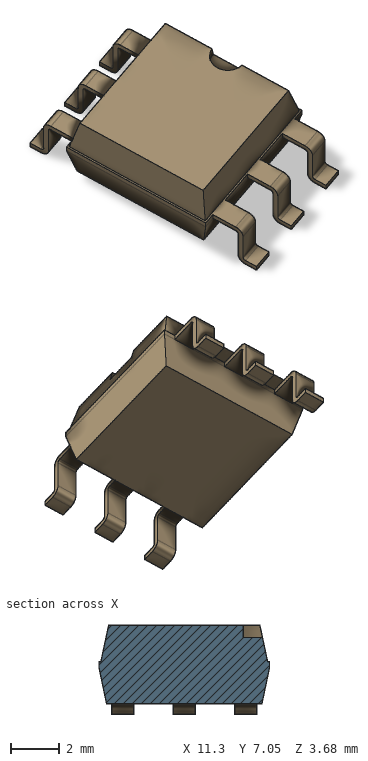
import cadquery as cq

band_length = 6.96
band_width = 7.05
band_top = 2.18
upper_height = 1.5
lower_height = 1.5
upper_step = 0.08
upper_inset = 0.32
lower_inset = 0.315

lead_span = 11.32
riser_span = 9.98
lead_thickness = 0.25
lead_width = 0.92
lead_pitch = 2.54
leads_per_side = 3
inner_bend_radius = 0.125
outer_bend_radius = inner_bend_radius + lead_thickness

notch_radius = 0.75
notch_depth = 0.5
notch_center_y = 3.19

band_bottom = band_top - lead_thickness
body_top = band_top + upper_height


def tapered_block(length, width, start_z, end_z, inset):
    """Frustum from a length x width base at start_z, narrowed by inset per side at end_z."""
    return (
        cq.Workplane("XY", origin=(0, 0, start_z))
        .rect(length, width)
        .workplane(offset=end_z - start_z)
        .rect(length - 2 * inset, width - 2 * inset)
        .loft(ruled=True)
    )


def make_body():
    band = cq.Workplane("XY", origin=(0, 0, band_bottom)).box(
        band_length, band_width, lead_thickness, centered=(True, True, False)
    )
    upper = tapered_block(
        band_length - 2 * upper_step, band_width - 2 * upper_step, band_top, body_top, upper_inset
    )
    lower = tapered_block(
        band_length, band_width, band_bottom, band_bottom - lower_height, lower_inset
    )
    return band.union(upper).union(lower)


def make_notch():
    return (
        cq.Workplane("XY", origin=(0, notch_center_y, body_top - notch_depth))
        .circle(notch_radius)
        .extrude(notch_depth)
    )


def make_lead():
    """One lead on the -X side, centred on Y = 0, running into the band."""
    toe_x = -lead_span / 2
    riser_outer_x = -riser_span / 2
    riser_inner_x = riser_outer_x + lead_thickness
    root_x = -band_length / 2 + lead_thickness

    strip = (
        cq.Workplane("XZ")
        .moveTo(toe_x, 0)
        .lineTo(riser_inner_x, 0)
        .lineTo(riser_inner_x, band_bottom)
        .lineTo(root_x, band_bottom)
        .lineTo(root_x, band_top)
        .lineTo(riser_outer_x, band_top)
        .lineTo(riser_outer_x, lead_thickness)
        .lineTo(toe_x, lead_thickness)
        .close()
        .extrude(lead_width / 2, both=True)
    )

    def edge_at(x, z):
        return cq.selectors.NearestToPointSelector((x, 0, z))

    strip = strip.edges("|Y").edges(edge_at(riser_inner_x, 0)).fillet(outer_bend_radius)
    strip = strip.edges("|Y").edges(edge_at(riser_outer_x, band_top)).fillet(outer_bend_radius)
    strip = strip.edges("|Y").edges(edge_at(riser_inner_x, band_bottom)).fillet(inner_bend_radius)
    return strip.edges("|Y").edges(edge_at(riser_outer_x, lead_thickness)).fillet(inner_bend_radius)


left_lead = make_lead()
right_lead = left_lead.mirror("YZ")

result = make_body().cut(make_notch())
for index in range(leads_per_side):
    lead_y = (index - (leads_per_side - 1) / 2) * lead_pitch
    result = result.union(left_lead.translate((0, lead_y, 0)))
    result = result.union(right_lead.translate((0, lead_y, 0)))